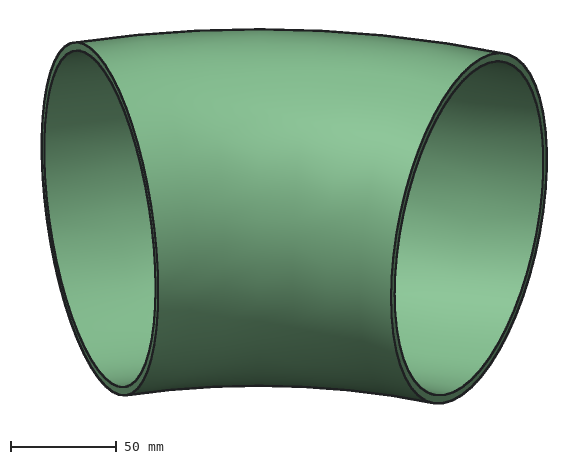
import cadquery as cq
import math

bend_angle = 45.0
overall_length = 220.7
outer_diameter = 168.5
wall_thickness = 4.0

outer_radius = outer_diameter / 2
inner_radius = outer_radius - wall_thickness
outside_bend_radius = overall_length / math.sin(math.radians(bend_angle))
bend_radius = outside_bend_radius - outer_radius


def pipe_elbow():
    """Ring on the XZ plane, swung about a Z axis so the pipe leaves along +Y and turns to +X."""
    ring = cq.Workplane("XZ").circle(outer_radius).circle(inner_radius)
    axis_start = (bend_radius, 0)
    axis_end = (bend_radius, -1)
    return ring.revolve(bend_angle, axis_start, axis_end)


result = pipe_elbow()